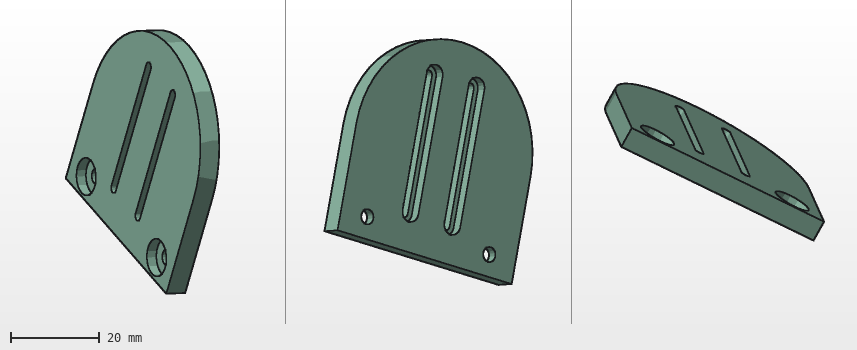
import cadquery as cq

plate_width = 50.0
plate_height = 50.0
plate_thickness = 5.0
lean_angle = 16.0

top_radius = plate_width / 2
shoulder_height = plate_height - top_radius

screw_spacing = 35.0
screw_height = 5.0
screw_diameter = 3.4
head_diameter = 8.5
head_depth = 2.5

slot_spacing = 12.0
slot_width = 2.2
slot_length = 34.2
slot_center_height = plate_height / 2
rear_slot_width = 4.5
rear_slot_length = slot_length + rear_slot_width - slot_width
rear_slot_depth = 2.5


def front_plane():
    """Sketch plane on the front face: X across, Y up from the bottom edge, normal toward -Y."""
    return cq.Workplane("XZ")


def arched_plate():
    """Rectangular lower half closed by a semicircular top."""
    return (
        front_plane()
        .moveTo(-top_radius, 0)
        .lineTo(top_radius, 0)
        .lineTo(top_radius, shoulder_height)
        .threePointArc((0, plate_height), (-top_radius, shoulder_height))
        .close()
        .extrude(-plate_thickness)
    )


def mirrored_points(spacing, height):
    """Two points at one height, placed symmetrically about the centre line."""
    return [(-spacing / 2, height), (spacing / 2, height)]


def screw_hole_cutters():
    """Through holes joined with the head recesses sunk from the front face."""
    points = mirrored_points(screw_spacing, screw_height)
    shanks = front_plane().pushPoints(points).circle(screw_diameter / 2).extrude(-plate_thickness)
    heads = front_plane().pushPoints(points).circle(head_diameter / 2).extrude(-head_depth)
    return shanks.union(heads)


def slot_pair(length, width, start_depth):
    """Pair of round-ended slots cut from a depth below the front face out through the back."""
    return (
        front_plane()
        .workplane(offset=-start_depth)
        .pushPoints(mirrored_points(slot_spacing, slot_center_height))
        .slot2D(length, width, 90)
        .extrude(start_depth - plate_thickness)
    )


def stepped_slot_cutters():
    """Narrow through slots joined with their wider recesses in the back face."""
    narrow = slot_pair(slot_length, slot_width, 0)
    wide = slot_pair(rear_slot_length, rear_slot_width, plate_thickness - rear_slot_depth)
    return narrow.union(wide)


upright_plate = arched_plate().cut(screw_hole_cutters()).cut(stepped_slot_cutters())

result = upright_plate.rotate((0, 0, 0), (1, 0, 0), -lean_angle)